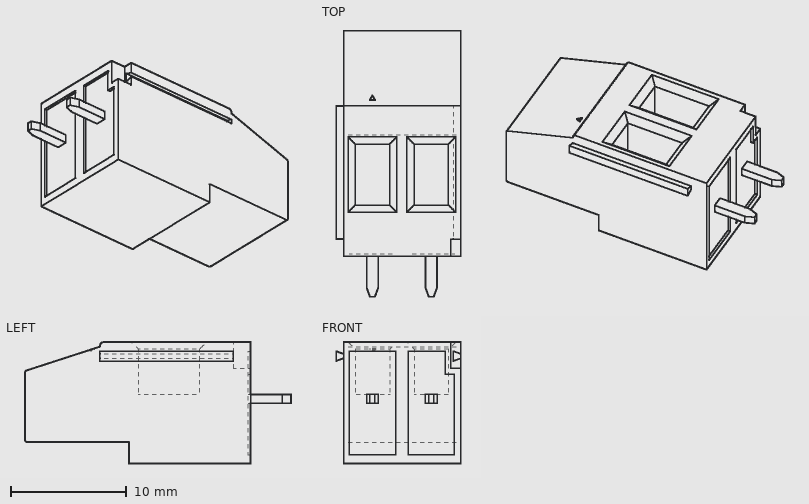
import cadquery as cq
import math


length = 23.0
width = 10.12
height = 10.5
pin_reach = 3.5
flange_thickness = 1.5
front_y = pin_reach
flange_y = front_y + flange_thickness
belly_end_y = 14.0
belly_drop = 1.86
shoulder_y = 16.51
shoulder_drop = 0.4
slope_angle = 18.0
shoulder_radius = 0.32
rear_radius = 0.2

pole_pitch = 5.08
first_pole_x = 2.48
pole_positions = [first_pole_x, first_pole_x + pole_pitch]

pin_width = 1.01
pin_thickness = 0.78
pin_bottom_z = 5.2
pin_top_z = pin_bottom_z + pin_thickness
pin_tip_width = 0.44
pin_taper_length = 0.78

opening_width = 4.2
opening_front_y = 7.31
opening_rear_y = 13.82
opening_bevel = 0.62
bevel_depth = 0.6
opening_floor_z = pin_top_z

recess_depth = 0.23
recess_bottom_z = 0.75
recess_top_wall = 0.8
recess_top_z = height - recess_top_wall
recess_spans = [(0.48, 4.48), (5.6, 9.55)]

notch_width = 0.87
notch_height = 2.25
notch_wall_side = 0.48
notch_wall_below = 0.55

dovetail_reach = 0.65
dovetail_wide = 0.85
dovetail_narrow = 0.4
dovetail_z = 9.3

mark_width = 0.45
mark_length = 0.41
mark_base_y = 17.02
mark_depth = 0.1

slope_run = length - shoulder_y
slope_start_z = height - shoulder_drop
slope_end_z = slope_start_z - slope_run * math.tan(math.radians(slope_angle))


def box(x_span, y_span, z_span):
    """Block between two coordinates on each axis."""
    size = [end - start for start, end in (x_span, y_span, z_span)]
    corner = (x_span[0], y_span[0], z_span[0])
    return cq.Workplane("XY").box(*size, centered=False).translate(corner)


def housing():
    """Side outline swept across the width, with its rounded edges."""
    body = (
        cq.Workplane("YZ")
        .moveTo(front_y, 0)
        .lineTo(belly_end_y, 0)
        .lineTo(belly_end_y, belly_drop)
        .lineTo(length, belly_drop)
        .lineTo(length, slope_end_z)
        .lineTo(shoulder_y, slope_start_z)
        .lineTo(shoulder_y, height)
        .lineTo(front_y, height)
        .close()
        .extrude(width)
    )
    body = body.faces(">Y").edges("|X").fillet(rear_radius)
    shoulder_edge = cq.selectors.NearestToPointSelector((width / 2, shoulder_y, height))
    return body.edges(shoulder_edge).fillet(shoulder_radius)


def dovetail(root_x):
    """Dovetail bar that widens toward -X from its narrow side at root_x."""
    outer_x = root_x - dovetail_reach
    return (
        cq.Workplane("XZ", origin=(0, flange_y, 0))
        .moveTo(root_x, dovetail_z - dovetail_narrow / 2)
        .lineTo(root_x, dovetail_z + dovetail_narrow / 2)
        .lineTo(outer_x, dovetail_z + dovetail_wide / 2)
        .lineTo(outer_x, dovetail_z - dovetail_wide / 2)
        .close()
        .extrude(flange_y - shoulder_y)
    )


def corner_notch():
    """Cutter for the upper right corner of the flange."""
    return box((width - notch_width, width), (front_y, flange_y), (height - notch_height, height))


def front_recesses():
    """Cutter for both front recesses, leaving a wall around the corner notch."""
    y_span = (front_y, front_y + recess_depth)
    recesses = cq.Workplane("XY")
    for x_span in recess_spans:
        recesses = recesses.add(box(x_span, y_span, (recess_bottom_z, recess_top_z)))
    kept_wall = box(
        (width - notch_width - notch_wall_side, width),
        y_span,
        (height - notch_height - notch_wall_below, height),
    )
    return recesses.combine().cut(kept_wall)


def screw_opening(pole_x):
    """Cutter for one rectangular opening with a bevelled mouth."""
    opening_length = opening_rear_y - opening_front_y
    well_width = opening_width - 2 * opening_bevel
    well_length = opening_length - 2 * opening_bevel
    centre_y = (opening_front_y + opening_rear_y) / 2
    mouth = (
        cq.Workplane("XY", origin=(pole_x, centre_y, height))
        .rect(opening_width, opening_length)
        .workplane(offset=-bevel_depth)
        .rect(well_width, well_length)
        .loft(ruled=True)
    )
    well = (
        cq.Workplane("XY", origin=(pole_x, centre_y, opening_floor_z))
        .rect(well_width, well_length)
        .extrude(height - bevel_depth - opening_floor_z)
    )
    return mouth.union(well)


def pin(pole_x):
    """Flat contact pin with a tapered tip, rooted in the recess floor."""
    return (
        cq.Workplane("XY", origin=(pole_x, 0, pin_bottom_z))
        .moveTo(-pin_tip_width / 2, 0)
        .lineTo(pin_tip_width / 2, 0)
        .lineTo(pin_width / 2, pin_taper_length)
        .lineTo(pin_width / 2, flange_y)
        .lineTo(-pin_width / 2, flange_y)
        .lineTo(-pin_width / 2, pin_taper_length)
        .close()
        .extrude(pin_thickness)
    )


def pole_mark():
    """Cutter for a triangle engraved in the slope, pointing to the rear."""
    slope_plane = cq.Plane(
        origin=(first_pole_x, shoulder_y, slope_start_z),
        xDir=(1, 0, 0),
        normal=(0, math.sin(math.radians(slope_angle)), math.cos(math.radians(slope_angle))),
    )
    base = (mark_base_y - shoulder_y) / math.cos(math.radians(slope_angle))
    return (
        cq.Workplane(slope_plane)
        .moveTo(-mark_width / 2, base)
        .lineTo(mark_width / 2, base)
        .lineTo(0, base + mark_length)
        .close()
        .extrude(-mark_depth)
    )


result = housing().union(dovetail(0)).cut(dovetail(width))
result = result.cut(corner_notch()).cut(front_recesses()).cut(pole_mark())
for pole_x in pole_positions:
    result = result.cut(screw_opening(pole_x)).union(pin(pole_x))